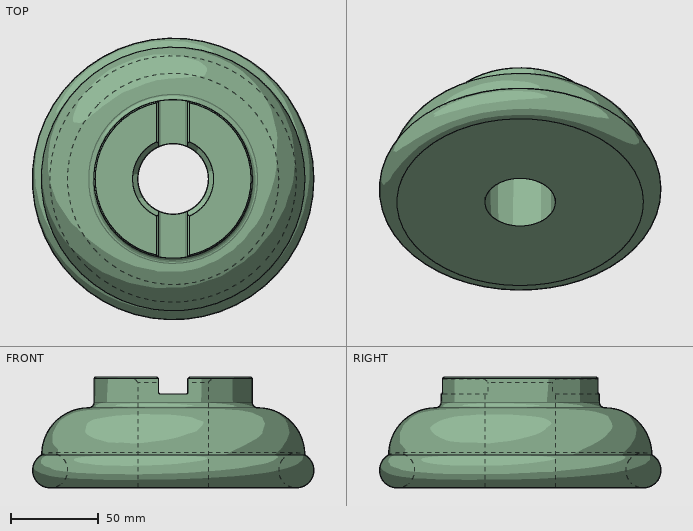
import cadquery as cq
import math

outer_radius = 80.0
bead_radius = 10.0
bead_center_radius = outer_radius - bead_radius

total_height = 63.0
neck_radius = 90.0 / 2
bore_radius = 40.0 / 2
dome_radius = 149.7 / 2
dome_top_radius = 48.0
dome_arc_radius = dome_radius - dome_top_radius
neck_fillet = dome_top_radius - neck_radius
neck_chamfer = 0.8
bore_chamfer = 3.0

slot_width = 16.5
slot_depth = 9.6
slot_floor_fillet = 0.8
slot_mouth_chamfer = 1.1

joint_height = bead_radius + math.sqrt(bead_radius**2 - (dome_radius - bead_center_radius)**2)
dome_top_height = joint_height + dome_arc_radius

diagonal = math.sqrt(0.5)


def revolve_about_z(profile):
    """Revolve a closed profile drawn in the XZ plane about the Z axis."""
    return profile.revolve(360, (0, 0, 0), (0, 1, 0))


def make_rim():
    """Ring of round section that seats in the groove around the bottom of the hub."""
    profile = cq.Workplane("XZ").center(bead_center_radius, bead_radius).circle(bead_radius)
    return profile.revolve(360, (-bead_center_radius, 0, 0), (-bead_center_radius, 1, 0))


def make_hub_blank():
    """Domed hub with its neck, bore and the round groove for the rim."""
    dome_arc_middle = (
        dome_top_radius + dome_arc_radius * diagonal,
        joint_height + dome_arc_radius * diagonal,
    )
    neck_fillet_middle = (
        dome_top_radius - neck_fillet * diagonal,
        dome_top_height + neck_fillet * (1 - diagonal),
    )
    profile = (
        cq.Workplane("XZ")
        .moveTo(bore_radius, 0)
        .lineTo(bead_center_radius, 0)
        .threePointArc((bead_center_radius - bead_radius, bead_radius), (dome_radius, joint_height))
        .threePointArc(dome_arc_middle, (dome_top_radius, dome_top_height))
        .threePointArc(neck_fillet_middle, (neck_radius, dome_top_height + neck_fillet))
        .lineTo(neck_radius, total_height - neck_chamfer)
        .lineTo(neck_radius - neck_chamfer, total_height)
        .lineTo(bore_radius + bore_chamfer, total_height)
        .lineTo(bore_radius, total_height - bore_chamfer)
        .close()
    )
    return revolve_about_z(profile)


def make_slot_cutter():
    """Slot volume with rounded floor corners and a chamfered mouth."""
    half_width = slot_width / 2
    mouth_half_width = half_width + slot_mouth_chamfer
    slot_length = 2 * dome_radius
    channel = (
        cq.Workplane("XY")
        .box(slot_width, slot_length, slot_depth, centered=(True, True, False))
        .edges("|Y and <Z")
        .fillet(slot_floor_fillet)
        .translate((0, 0, total_height - slot_depth))
    )
    mouth = (
        cq.Workplane("XZ")
        .moveTo(-half_width, total_height - slot_mouth_chamfer)
        .lineTo(half_width, total_height - slot_mouth_chamfer)
        .lineTo(mouth_half_width, total_height)
        .lineTo(-mouth_half_width, total_height)
        .close()
        .extrude(slot_length / 2, both=True)
    )
    return channel.union(mouth)


rim = make_rim()
hub = make_hub_blank().cut(make_slot_cutter())

result = cq.Compound.makeCompound([hub.val(), rim.val()])